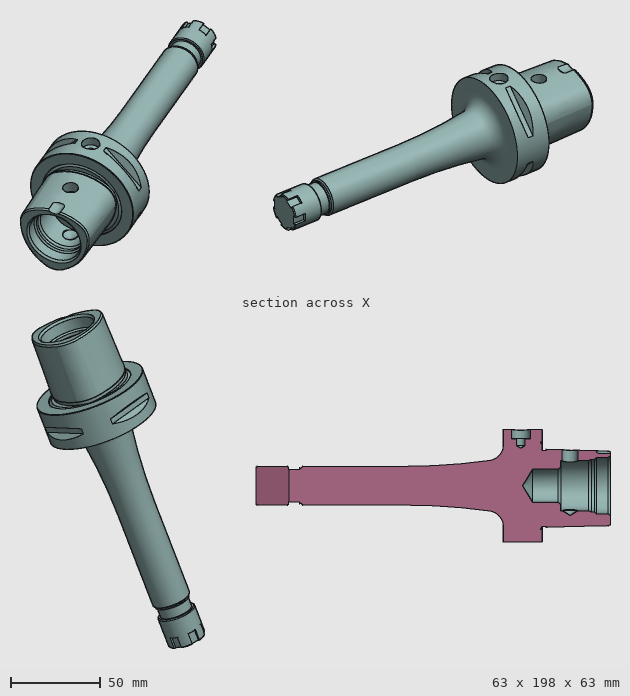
import cadquery as cq
import math

TOTAL_LENGTH = 198.0
TAPER_LENGTH = 38.0
TAPER_END_Y = -TAPER_LENGTH
NOSE_Y = TOTAL_LENGTH - TAPER_LENGTH

FLANGE_RADIUS = 31.5
FLANGE_WIDTH = 22.0
FLANGE_CHAMFER = 0.3
GROOVE_Y = 12.0
GROOVE_FLOOR_DISTANCE = 27.5
GROOVE_FLOOR_WIDTH = 3.2
GROOVE_FLANK_ANGLE = 30.0
GROOVE_ANGLES = (45, 135, 225, 315)
CHIP_HOLE_RADIUS = 5.1
CHIP_HOLE_FLOOR_Z = 26.3
PILOT_RADIUS = 2.28
PILOT_DEPTH = 4.0
DRILL_POINT_ANGLE = 118.0

RELIEF_OUTER_RADIUS = 24.4
RELIEF_INNER_RADIUS = 22.5
RELIEF_DEPTH = 1.0

SHANK_RADIUS = 22.0 / 2
SHANK_END_Y = 134.6
COLLAR_RADIUS = 10.0
COLLAR_LENGTH = 1.0
SHANK_CHAMFER = 0.8
FLARE_START_Y = 76.6
FLARE_END_Y = 29.5
FLARE_END_RADIUS = 14.3
ROOT_FILLET_RADIUS = 8.7
NECK_RADIUS = 9.3

NUT_RADIUS = SHANK_RADIUS
NUT_LENGTH = 18.2
NUT_REAR_Y = NOSE_Y - NUT_LENGTH
NUT_CHAMFER = 0.5
NUT_SLOTS = 6
NUT_SLOT_WIDTH = 5.0
NUT_SLOT_LENGTH = 7.0
NUT_SLOT_FLOOR_DISTANCE = 9.1

LOBE_CENTRE_DISTANCE = 10.9
LOBE_REACH = 23.4
TAPER_RATIO = 1 / 40
TAPER_START_Y = -2.0
ROOT_UNDERCUT = 0.5
TIP_CHAMFER = 0.5
TIP_CHAMFER_LENGTH = 1.2
LOBE_PITCH = 120
LOBE_HALF_ARC = 30
LOBE_ANGLES = (30, 150, 270)

CROSS_HOLE_RADIUS = 4.4
CROSS_HOLE_Y = -15.5
KEYWAY_RADIUS = 5.3
KEYWAY_DEPTH_Z = 18.0
KEYWAY_LENGTH = 8.1
KEYWAY_END_FILLET = 2.2

MOUTH_RADIUS = 16.6
MOUTH_CHAMFER = 1.0
MOUTH_CHAMFER_DEPTH = 1.4
COUNTERBORE_DEPTH = 8.0
STEP_RADIUS = 14.7
STEP_DEPTH = 10.7
STEP_CONE_LENGTH = 1.5
BORE_RADIUS = 13.9
BORE_DEPTH = 27.7
SCREW_HOLE_RADIUS = 10.7
SCREW_HOLE_CHAMFER = 1.5
SCREW_HOLE_DEPTH = 43.5


def cone_height(radius, point_angle):
    """Height of a drill point of the given full angle."""
    return radius / math.tan(math.radians(point_angle / 2))


def revolve_profile(sketch):
    """Turned solid from a half profile whose axis is the vertical axis of its own plane."""
    return sketch.close().revolve(360, (0, 0, 0), (0, 1, 0))


def lobed_outline(y, inset=0.0):
    """Constant-width outline of six tangent arcs, on the plane at the given Y."""
    lobe_radius = LOBE_REACH - LOBE_CENTRE_DISTANCE - inset
    side_radius = lobe_radius + math.sqrt(3) * LOBE_CENTRE_DISTANCE

    def arc_point(centre_angle, radius, direction):
        centre_turn, turn = math.radians(centre_angle), math.radians(direction)
        return (
            LOBE_CENTRE_DISTANCE * math.cos(centre_turn) + radius * math.cos(turn),
            LOBE_CENTRE_DISTANCE * math.sin(centre_turn) + radius * math.sin(turn),
        )

    outline = cq.Workplane("XZ", origin=(0, y, 0))
    outline = outline.moveTo(*arc_point(LOBE_ANGLES[0], lobe_radius, LOBE_ANGLES[0] - LOBE_HALF_ARC))
    for angle in LOBE_ANGLES:
        next_angle = angle + LOBE_PITCH
        opposite_angle = next_angle + LOBE_PITCH
        outline = outline.threePointArc(
            arc_point(angle, lobe_radius, angle),
            arc_point(angle, lobe_radius, angle + LOBE_HALF_ARC),
        )
        outline = outline.threePointArc(
            arc_point(opposite_angle, side_radius, angle + LOBE_PITCH / 2),
            arc_point(next_angle, lobe_radius, next_angle - LOBE_HALF_ARC),
        )
    return outline.close()


def lobed_section(start_y, end_y, start_inset, end_inset):
    """Solid between two lobed outlines, running in the -Y direction."""
    length = start_y - end_y
    taper = math.degrees(math.atan((end_inset - start_inset) / length))
    return lobed_outline(start_y, start_inset).extrude(length, taper=taper)


def make_taper():
    chamfer_y = TAPER_END_Y + TIP_CHAMFER_LENGTH
    tip_inset = (TAPER_START_Y - chamfer_y) * TAPER_RATIO
    root = lobed_outline(RELIEF_DEPTH, ROOT_UNDERCUT).extrude(RELIEF_DEPTH - TAPER_START_Y)
    cone = lobed_section(TAPER_START_Y, chamfer_y, 0, tip_inset)
    tip = lobed_section(chamfer_y, TAPER_END_Y, tip_inset, tip_inset + TIP_CHAMFER)
    return root.union(cone).union(tip)


def make_flange_and_shank():
    """Turned profile from the contact face to the end of the neck."""
    run = FLARE_START_Y - FLARE_END_Y
    rise = FLARE_END_RADIUS - SHANK_RADIUS
    flare_radius = (run**2 + rise**2) / (2 * rise)
    half_turn = math.asin(run / flare_radius) / 2
    flare_mid = (
        SHANK_RADIUS + flare_radius * (1 - math.cos(half_turn)),
        FLARE_START_Y - flare_radius * math.sin(half_turn),
    )
    drop = FLANGE_WIDTH + ROOT_FILLET_RADIUS - FLARE_END_Y
    reach = math.sqrt(ROOT_FILLET_RADIUS**2 - drop**2)
    fillet_x = FLARE_END_RADIUS + reach
    mid_angle = (math.asin(drop / ROOT_FILLET_RADIUS) + math.pi / 2) / 2
    fillet_mid = (
        fillet_x - ROOT_FILLET_RADIUS * math.cos(mid_angle),
        FLANGE_WIDTH + ROOT_FILLET_RADIUS * (1 - math.sin(mid_angle)),
    )
    collar_y = SHANK_END_Y - SHANK_CHAMFER
    return revolve_profile(
        cq.Workplane("XY")
        .moveTo(0, 0)
        .lineTo(RELIEF_INNER_RADIUS, 0)
        .lineTo(RELIEF_OUTER_RADIUS, RELIEF_DEPTH)
        .lineTo(RELIEF_OUTER_RADIUS, 0)
        .lineTo(FLANGE_RADIUS - FLANGE_CHAMFER, 0)
        .lineTo(FLANGE_RADIUS, FLANGE_CHAMFER)
        .lineTo(FLANGE_RADIUS, FLANGE_WIDTH)
        .lineTo(fillet_x, FLANGE_WIDTH)
        .threePointArc(fillet_mid, (FLARE_END_RADIUS, FLARE_END_Y))
        .threePointArc(flare_mid, (SHANK_RADIUS, FLARE_START_Y))
        .lineTo(SHANK_RADIUS, collar_y)
        .lineTo(COLLAR_RADIUS, SHANK_END_Y)
        .lineTo(COLLAR_RADIUS, SHANK_END_Y + COLLAR_LENGTH)
        .lineTo(NECK_RADIUS, SHANK_END_Y + COLLAR_LENGTH)
        .lineTo(NECK_RADIUS, NUT_REAR_Y)
        .lineTo(0, NUT_REAR_Y)
    )


def gripper_slot(angle):
    """Cutter for a straight V slot with a flat floor across the flange's rim."""
    depth = FLANGE_RADIUS - GROOVE_FLOOR_DISTANCE
    half_floor = GROOVE_FLOOR_WIDTH / 2
    half_mouth = half_floor + depth * math.tan(math.radians(GROOVE_FLANK_ANGLE))
    cutter = (
        cq.Workplane("XY", origin=(0, GROOVE_Y, 0))
        .moveTo(GROOVE_FLOOR_DISTANCE, -half_floor)
        .lineTo(FLANGE_RADIUS, -half_mouth)
        .lineTo(FLANGE_RADIUS, half_mouth)
        .lineTo(GROOVE_FLOOR_DISTANCE, half_floor)
        .close()
        .extrude(FLANGE_RADIUS, both=True)
    )
    return cutter.rotate((0, 0, 0), (0, 1, 0), angle)


def chip_hole():
    """Cutter for the stepped hole on top of the flange, with a drill point."""
    pilot_z = CHIP_HOLE_FLOOR_Z - PILOT_DEPTH
    return revolve_profile(
        cq.Workplane("XZ", origin=(0, GROOVE_Y, 0))
        .moveTo(0, FLANGE_RADIUS)
        .lineTo(CHIP_HOLE_RADIUS, FLANGE_RADIUS)
        .lineTo(CHIP_HOLE_RADIUS, CHIP_HOLE_FLOOR_Z)
        .lineTo(PILOT_RADIUS, CHIP_HOLE_FLOOR_Z)
        .lineTo(PILOT_RADIUS, pilot_z)
        .lineTo(0, pilot_z - cone_height(PILOT_RADIUS, DRILL_POINT_ANGLE))
    )


def clamping_bore():
    """Cutter for the stepped bore in the taper's end face."""
    counterbore_radius = MOUTH_RADIUS - MOUTH_CHAMFER
    counterbore_y = TAPER_END_Y + COUNTERBORE_DEPTH
    step_y = TAPER_END_Y + STEP_DEPTH
    bore_floor_y = TAPER_END_Y + BORE_DEPTH
    screw_hole_y = TAPER_END_Y + SCREW_HOLE_DEPTH
    inner_radius = SCREW_HOLE_RADIUS - SCREW_HOLE_CHAMFER
    return revolve_profile(
        cq.Workplane("XY")
        .moveTo(0, TAPER_END_Y)
        .lineTo(MOUTH_RADIUS, TAPER_END_Y)
        .lineTo(counterbore_radius, TAPER_END_Y + MOUTH_CHAMFER_DEPTH)
        .lineTo(counterbore_radius, counterbore_y)
        .lineTo(STEP_RADIUS, counterbore_y + counterbore_radius - STEP_RADIUS)
        .lineTo(STEP_RADIUS, step_y)
        .lineTo(BORE_RADIUS, step_y + STEP_CONE_LENGTH)
        .lineTo(BORE_RADIUS, bore_floor_y)
        .lineTo(SCREW_HOLE_RADIUS, bore_floor_y)
        .lineTo(inner_radius, bore_floor_y + SCREW_HOLE_CHAMFER)
        .lineTo(inner_radius, screw_hole_y)
        .lineTo(0, screw_hole_y + cone_height(inner_radius, DRILL_POINT_ANGLE))
    )


def cross_hole():
    """Cutter for the radial hole through the top wall, its drill point sunk in the opposite wall."""
    return revolve_profile(
        cq.Workplane("XZ", origin=(0, CROSS_HOLE_Y, 0))
        .moveTo(0, LOBE_REACH)
        .lineTo(CROSS_HOLE_RADIUS, LOBE_REACH)
        .lineTo(CROSS_HOLE_RADIUS, -BORE_RADIUS)
        .lineTo(0, -BORE_RADIUS - cone_height(CROSS_HOLE_RADIUS, DRILL_POINT_ANGLE))
    )


def keyway():
    """Cutter for the trough in the taper's top edge: a cylinder along Y with a rounded end."""
    return (
        cq.Workplane("XZ", origin=(0, TAPER_END_Y, KEYWAY_DEPTH_Z + KEYWAY_RADIUS))
        .circle(KEYWAY_RADIUS)
        .extrude(-KEYWAY_LENGTH)
        .faces(">Y")
        .edges()
        .fillet(KEYWAY_END_FILLET)
    )


def make_holder():
    holder = make_flange_and_shank().union(make_taper())
    holder = holder.cut(clamping_bore()).cut(cross_hole()).cut(keyway()).cut(chip_hole())
    for angle in GROOVE_ANGLES:
        holder = holder.cut(gripper_slot(angle))
    return holder


def make_nut():
    """Clamping nut on the end of the neck, with spanner slots around its front edge."""
    blank = (
        cq.Workplane("XZ", origin=(0, NOSE_Y, 0))
        .circle(NUT_RADIUS)
        .extrude(NUT_LENGTH)
        .faces("<Y or >Y")
        .chamfer(NUT_CHAMFER)
    )
    slot_depth = NUT_RADIUS - NUT_SLOT_FLOOR_DISTANCE
    slot = cq.Workplane("XY").box(
        slot_depth, NUT_SLOT_LENGTH, NUT_SLOT_WIDTH, centered=(False, False, True)
    ).translate((NUT_SLOT_FLOOR_DISTANCE, NOSE_Y - NUT_SLOT_LENGTH, 0))
    for index in range(NUT_SLOTS):
        blank = blank.cut(slot.rotate((0, 0, 0), (0, 1, 0), index * 360 / NUT_SLOTS))
    return blank


holder = make_holder()
nut = make_nut()
result = cq.Compound.makeCompound([holder.val(), nut.val()])